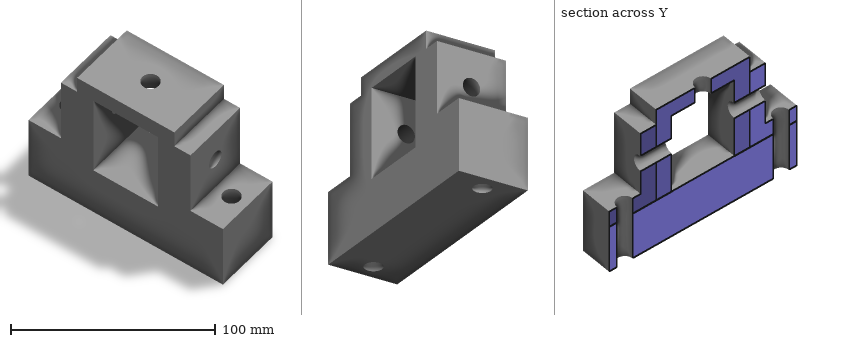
import cadquery as cq

length = 120.0
base_height = 30.0
plate = length / 12
depth = length / 3
hole_diameter = plate

frame_width = length / 2
frame_height = frame_width
bracket_height = frame_height - plate
foot_length = (length - frame_width) / 2
foot_hole_x = length / 2 - plate
side_hole_z = base_height + frame_height / 2


def block(x_min, x_max, z_min, z_max):
    """Rectangular block of full depth, centred on Y."""
    return cq.Workplane("XY").box(
        x_max - x_min, depth, z_max - z_min, centered=(False, True, False)
    ).translate((x_min, 0, z_min))


def vertical_hole(x):
    """Cutter along Z, reaching from the base bottom to the frame top."""
    return cq.Workplane("XY").center(x, 0).circle(hole_diameter / 2).extrude(base_height + frame_height)


def side_hole():
    """Cutter along X through both brackets and both frame legs."""
    return cq.Workplane("YZ").center(0, side_hole_z).circle(hole_diameter / 2).extrude(length / 2, both=True)


def make_base():
    """Solid block with a through hole under each bracket foot."""
    body = block(-length / 2, length / 2, 0, base_height)
    for side in (-1, 1):
        body = body.cut(vertical_hole(side * foot_hole_x))
    return body


def make_frame():
    """Inverted U standing on the base, drilled through its roof and legs."""
    half_width = frame_width / 2
    half_opening = half_width - plate
    frame_top = base_height + frame_height
    body = block(-half_width, half_width, base_height, frame_top)
    body = body.cut(block(-half_opening, half_opening, base_height, frame_top - plate))
    return body.cut(vertical_hole(0)).cut(side_hole())


def make_bracket(side):
    """L bracket against the frame leg on the given side: -1 for -X, +1 for +X."""
    inner_x = frame_width / 2
    foot = block(inner_x, inner_x + foot_length, base_height, base_height + plate)
    leg = block(inner_x, inner_x + plate, base_height, base_height + bracket_height)
    body = foot.union(leg).cut(vertical_hole(foot_hole_x)).cut(side_hole())
    return body if side > 0 else body.mirror("YZ")


base = make_base()
frame = make_frame()
brackets = [make_bracket(side) for side in (-1, 1)]

result = cq.Compound.makeCompound([base.val(), frame.val(), *[bracket.val() for bracket in brackets]])